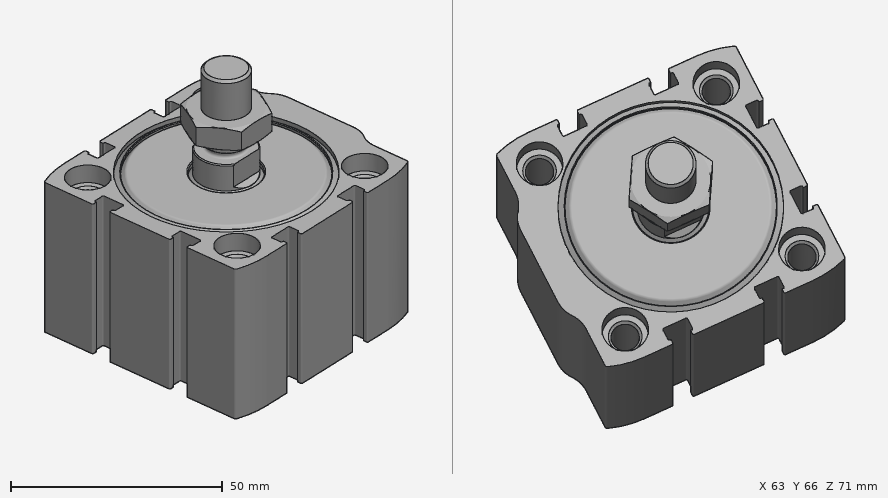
import cadquery as cq
import math


total_height = 71.0
housing_height = 41.9
housing_width = 63.0
half_width = housing_width / 2

side_flat_half = 22.15
side_arc_radius = 25.55
side_arc_angle = math.asin((half_width - side_flat_half) / side_arc_radius)
corner_x = half_width - side_arc_radius * (1 - math.cos(side_arc_angle))
corner_fillet = 0.7
housing_depth = 66.0
hump_height = housing_depth - housing_width
hump_top_half = 10.1
hump_base_half = 19.2

slot_offset = 12.0
slot_opening = 5.2
slot_width = 6.45
slot_depth = 4.55
slot_lip = 1.3
slot_fillet = 0.35

hole_offset = 23.2
hole_diameter = 6.7
hole_chamfer_diameter = 7.95
counterbore_diameter = 11.0
counterbore_depth = 4.9

rim_radius = 53.3 / 2
rim_depth = 1.2
lip_radius = 25.2
lip_depth = 0.2
bore_radius = 50.0 / 2
groove_depth = 1.1
collar_radius = 24.0
collar_top_radius = 23.4
collar_edge_depth = 0.2

wiper_radius = 18.1 / 2
wiper_depth = 1.35
wiper_chamfer = 0.3
wiper_lip_depth = 0.35

rod_radius = 16.0 / 2
rod_insertion = 14.2
rod_shoulder_z = 48.8
rod_shoulder_chamfer = 0.3
rod_flat_half = 6.4
rod_flat_z = 42.5
rod_flat_runout_angle = 35.0
neck_radius = 9.8 / 2
neck_fillet = 0.7
thread_radius = 12.0 / 2
neck_top_z = 50.05
thread_start_z = 50.85
tip_radius = 10.65 / 2

nut_z = 53.95
nut_height = 6.0
nut_flats = 19.0
nut_chamfer_diameter = 18.9
nut_corner_drop = 0.5


def housing_outline():
    """Square with bowed-in side ends and a smooth hump on the +Y side."""
    half_bow = side_arc_angle / 2
    bow_x = half_width - side_arc_radius * (1 - math.cos(half_bow))
    bow_y = side_flat_half + side_arc_radius * math.sin(half_bow)
    hump_y = half_width + hump_height
    slope_x = (hump_top_half + hump_base_half) / 2
    slope_y = half_width + hump_height / 2
    return (
        cq.Workplane("XY")
        .moveTo(-corner_x, -half_width)
        .lineTo(corner_x, -half_width)
        .threePointArc((bow_x, -bow_y), (half_width, -side_flat_half))
        .lineTo(half_width, side_flat_half)
        .threePointArc((bow_x, bow_y), (corner_x, half_width))
        .lineTo(hump_base_half, half_width)
        .tangentArcPoint((slope_x, slope_y), relative=False)
        .tangentArcPoint((hump_top_half, hump_y), relative=False)
        .lineTo(-hump_top_half, hump_y)
        .tangentArcPoint((-slope_x, slope_y), relative=False)
        .tangentArcPoint((-hump_base_half, half_width), relative=False)
        .lineTo(-corner_x, half_width)
        .threePointArc((-bow_x, bow_y), (-half_width, side_flat_half))
        .lineTo(-half_width, -side_flat_half)
        .threePointArc((-bow_x, -bow_y), (-corner_x, -half_width))
        .close()
    )


def fillet_upright_edge(body, x, y, radius):
    """Round the vertical housing edge that stands at (x, y)."""
    edge_middle = (x, y, housing_height / 2)
    return body.edges(cq.selectors.NearestToPointSelector(edge_middle)).fillet(radius)


def slot_cutter():
    """T-shaped slot open to the -Y side, centred on X = 0, with rounded corners."""
    neck = cq.Workplane("XY").box(slot_opening, slot_depth, housing_height, centered=(True, False, False))
    pocket = (
        cq.Workplane("XY")
        .box(slot_width, slot_depth - slot_lip, housing_height, centered=(True, False, False))
        .edges("|Z")
        .fillet(slot_fillet)
        .translate((0, slot_lip, 0))
    )
    return neck.union(pocket).translate((0, -half_width, 0))


def cut_slots(body):
    """Two slots in each of the -X, -Y and +X sides, with rounded mouths."""
    for side_angle in (-90, 0, 90):
        for offset in (-slot_offset, slot_offset):
            cutter = slot_cutter().translate((offset, 0, 0))
            body = body.cut(cutter.rotate((0, 0, 0), (0, 0, 1), side_angle))
    mouth_half = slot_opening / 2
    mouth_edges = [side * slot_offset + edge * mouth_half for side in (-1, 1) for edge in (-1, 1)]
    points = [(place, -half_width) for place in mouth_edges]
    points += [(side * half_width, place) for side in (-1, 1) for place in mouth_edges]
    for x, y in points:
        body = fillet_upright_edge(body, x, y, slot_fillet)
    return body


def mounting_hole_cutter():
    """Through hole with a counterbore and a chamfered step."""
    hole_radius = hole_diameter / 2
    chamfer_radius = hole_chamfer_diameter / 2
    counterbore_radius = counterbore_diameter / 2
    floor_z = housing_height - counterbore_depth
    return (
        cq.Workplane("XZ")
        .polyline([
            (0, 0),
            (hole_radius, 0),
            (hole_radius, floor_z - (chamfer_radius - hole_radius)),
            (chamfer_radius, floor_z),
            (counterbore_radius, floor_z),
            (counterbore_radius, housing_height),
            (0, housing_height),
        ])
        .close()
        .revolve(360, (0, 0), (0, 1))
    )


def ring_groove_cutter():
    """Groove between the housing rim and the collar, with a conical lip at the bore edge."""
    top = housing_height
    edge_angle = math.atan2(collar_edge_depth, collar_radius - collar_top_radius)
    edge_arc_radius = (collar_radius - collar_top_radius) / math.sin(2 * edge_angle)
    arc_mid = (
        collar_top_radius + edge_arc_radius * math.sin(edge_angle),
        top - edge_arc_radius * (1 - math.cos(edge_angle)),
    )
    return (
        cq.Workplane("XZ")
        .moveTo(collar_top_radius, top)
        .threePointArc(arc_mid, (collar_radius, top - collar_edge_depth))
        .lineTo(bore_radius, top - groove_depth)
        .lineTo(bore_radius, top - lip_depth - (lip_radius - bore_radius))
        .lineTo(lip_radius, top - lip_depth)
        .lineTo(rim_radius, top - rim_depth)
        .lineTo(rim_radius, top)
        .close()
        .revolve(360, (0, 0), (0, 1))
    )


def rod_bore_cutter():
    """Blind hole for the rod and the conical wiper recess at its mouth."""
    top = housing_height
    return (
        cq.Workplane("XZ")
        .polyline([
            (0, top - rod_insertion),
            (rod_radius, top - rod_insertion),
            (rod_radius, top - wiper_lip_depth),
            (wiper_radius, top - wiper_depth),
            (wiper_radius, top - wiper_chamfer),
            (wiper_radius + wiper_chamfer, top),
            (0, top),
        ])
        .close()
        .revolve(360, (0, 0), (0, 1))
    )


def make_housing():
    """Slotted housing with its collar, mounting holes and rod bore."""
    body = housing_outline().extrude(housing_height)
    for sx in (-1, 1):
        for sy in (-1, 1):
            body = fillet_upright_edge(body, sx * corner_x, sy * half_width, corner_fillet)
    body = cut_slots(body)
    for x in (-hole_offset, hole_offset):
        for y in (-hole_offset, hole_offset):
            body = body.cut(mounting_hole_cutter().translate((x, y, 0)))
    return body.cut(ring_groove_cutter()).cut(rod_bore_cutter())


def rod_flat_cutter():
    """Wrench flat on the +X side, running out to the rod surface on a shallow slope."""
    runout = rod_radius - rod_flat_half
    runout_drop = runout * math.tan(math.radians(rod_flat_runout_angle))
    return (
        cq.Workplane("XZ")
        .polyline([
            (rod_flat_half, rod_shoulder_z),
            (rod_flat_half, rod_flat_z),
            (rod_flat_half + runout, rod_flat_z - runout_drop),
            (rod_flat_half + runout, rod_shoulder_z),
        ])
        .close()
        .extrude(rod_radius, both=True)
    )


def make_rod():
    """Round rod with two wrench flats, a relief neck and a reduced threaded end."""
    bottom = housing_height - rod_insertion
    fillet_mid = neck_fillet * (1 - math.sqrt(0.5))
    tip_chamfer = thread_radius - tip_radius
    rod = (
        cq.Workplane("XZ")
        .moveTo(0, bottom)
        .lineTo(rod_radius, bottom)
        .lineTo(rod_radius, rod_shoulder_z - rod_shoulder_chamfer)
        .lineTo(rod_radius - rod_shoulder_chamfer, rod_shoulder_z)
        .lineTo(neck_radius + neck_fillet, rod_shoulder_z)
        .threePointArc(
            (neck_radius + fillet_mid, rod_shoulder_z + fillet_mid),
            (neck_radius, rod_shoulder_z + neck_fillet),
        )
        .lineTo(neck_radius, neck_top_z)
        .lineTo(thread_radius, thread_start_z)
        .lineTo(thread_radius, total_height - tip_chamfer)
        .lineTo(tip_radius, total_height)
        .lineTo(0, total_height)
        .close()
        .revolve(360, (0, 0), (0, 1))
    )
    for angle in (0, 180):
        rod = rod.cut(rod_flat_cutter().rotate((0, 0, 0), (0, 0, 1), angle))
    return rod


def make_nut():
    """Hexagon with its flats facing X, corners chamfered on both ends."""
    corner_radius = nut_flats / math.sqrt(3)
    chamfer_radius = nut_chamfer_diameter / 2
    hexagon = (
        cq.Workplane("XY")
        .polygon(6, 2 * corner_radius)
        .extrude(nut_height)
        .rotate((0, 0, 0), (0, 0, 1), 30)
    )
    envelope = (
        cq.Workplane("XZ")
        .polyline([
            (thread_radius, 0),
            (chamfer_radius, 0),
            (corner_radius, nut_corner_drop),
            (corner_radius, nut_height - nut_corner_drop),
            (chamfer_radius, nut_height),
            (thread_radius, nut_height),
        ])
        .close()
        .revolve(360, (0, 0), (0, 1))
    )
    return hexagon.intersect(envelope).translate((0, 0, nut_z))


housing = make_housing()
rod = make_rod()
nut = make_nut()

result = cq.Compound.makeCompound([housing.val(), rod.val(), nut.val()])